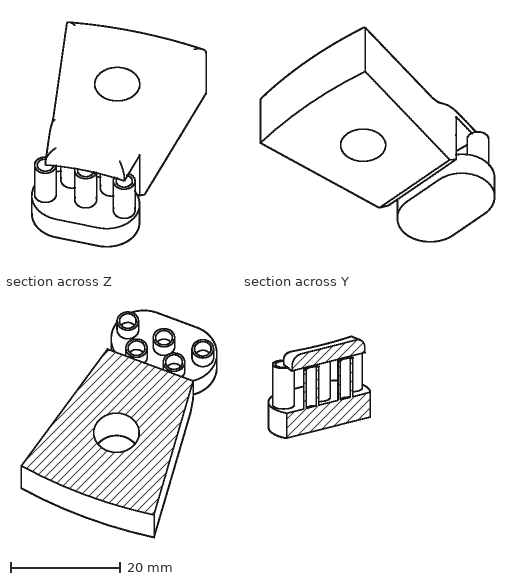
import cadquery as cq
import math


pad_width = 20.0
pad_depth = 12.05
pad_height = 5.0
post_radius = 2.0
post_bore_radius = 1.5
front_post_top = 13.0
rear_post_top = 12.65
outer_post_y = -0.65
rear_post_y = pad_depth / 2 - post_radius
post_pitch = 7.45

overall_length = 42.4
overall_width = 26.45
overall_height = 16.0
back_y = overall_length - pad_depth / 2
nose_y = 0
nose_radius = 47.05
axis_y = nose_y - nose_radius
back_radius = back_y - axis_y
half_angle = math.degrees(math.asin(overall_width / 2 / back_radius))

deck_height = front_post_top
edge_radius = 2.0
ramp_bottom_y = 15.25
ramp_top_y = 5.98
front_face_y = 6.27
toe_depth = 2.08
toe_height = 1.9
hole_y = 21.95
hole_radius = 4.1


def make_body():
    """Revolve the stepped profile through the sector, round its top and relieve its front."""
    ramp_bottom = ramp_bottom_y - axis_y
    ramp_top = ramp_top_y - axis_y
    ramp_middle = ((ramp_bottom + ramp_top) / 2, (deck_height + overall_height) / 2)
    profile = (
        cq.Workplane("YZ", origin=(0, axis_y, 0))
        .moveTo(nose_radius, 0)
        .lineTo(back_radius, 0)
        .lineTo(back_radius, deck_height)
        .lineTo(ramp_bottom, deck_height)
        .tangentArcPoint(ramp_middle, relative=False)
        .tangentArcPoint((ramp_top, overall_height), relative=False)
        .lineTo(nose_radius, overall_height)
        .close()
    )
    body = profile.revolve(2 * half_angle, (0, 0, 0), (0, 1, 0))
    body = body.rotate((0, axis_y, 0), (0, axis_y, 1), -half_angle)

    outer_faces = body.faces("<X or >X or <Y or >Y")
    body = outer_faces.edges("not(|Z or <Z)").fillet(edge_radius)

    front_relief = (
        cq.Workplane("YZ")
        .moveTo(front_face_y, deck_height)
        .lineTo(front_face_y, toe_height)
        .lineTo(front_face_y + toe_depth, 0)
        .lineTo(-pad_depth, 0)
        .lineTo(-pad_depth, deck_height)
        .close()
        .extrude(overall_width / 2, both=True)
    )
    hole = cq.Workplane("XY").center(0, hole_y).circle(hole_radius).extrude(overall_height)
    return body.cut(front_relief).cut(hole)


def make_pad():
    """Round-ended pad carrying three front posts and two rear posts in the gaps between them."""
    pad = cq.Workplane("XY").slot2D(pad_width, pad_depth).extrude(pad_height)
    front_spots = [(-post_pitch, outer_post_y), (0, 0), (post_pitch, outer_post_y)]
    rear_spots = [(side * post_pitch / 2, rear_post_y) for side in (-1, 1)]
    for spots, top in ((front_spots, front_post_top), (rear_spots, rear_post_top)):
        posts = (
            cq.Workplane("XY", origin=(0, 0, pad_height))
            .pushPoints(spots)
            .circle(post_radius)
            .circle(post_bore_radius)
            .extrude(top - pad_height)
        )
        pad = pad.union(posts)
    return pad


result = make_body().union(make_pad())